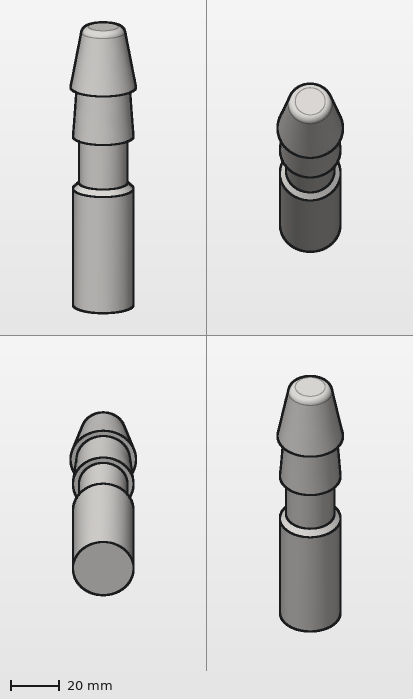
import cadquery as cq

shank_diameter = 25.0
neck_diameter = 20.0
collar_top_diameter = 22.0
head_diameter = 27.0
tip_diameter = 17.3

shank_height = 52.2
neck_height = 19.8
collar_height = 21.1
total_height = 119.0

tip_round = 3.0
shank_chamfer = (shank_diameter - neck_diameter) / 2

neck_top = shank_height + neck_height
collar_top = neck_top + collar_height

profile = (
    cq.Workplane("XZ")
    .lineTo(shank_diameter / 2, 0)
    .lineTo(shank_diameter / 2, shank_height - shank_chamfer)
    .lineTo(neck_diameter / 2, shank_height)
    .lineTo(neck_diameter / 2, neck_top)
    .lineTo(shank_diameter / 2, neck_top)
    .lineTo(collar_top_diameter / 2, collar_top)
    .lineTo(head_diameter / 2, collar_top)
    .lineTo(tip_diameter / 2, total_height)
    .lineTo(0, total_height)
    .close()
)
body = profile.revolve(360, (0, 0, 0), (0, 1, 0))

result = body.faces(">Z").edges().fillet(tip_round)